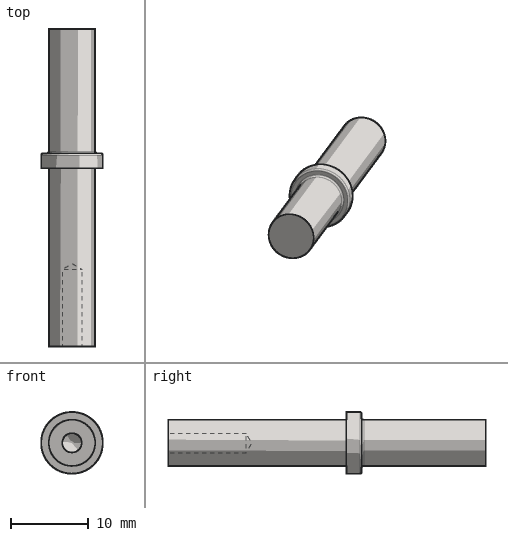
import cadquery as cq
import math

length = 41.0
rod_diameter = 6.0
collar_diameter = 8.0
collar_width = 1.95
collar_front = 23.0
edge_radius = 0.25

hole_diameter = 2.5
hole_depth = 10.0
drill_point_angle = 118.0

rod_radius = rod_diameter / 2
collar_radius = collar_diameter / 2
collar_rear = collar_front + collar_width
hole_radius = hole_diameter / 2
drill_point_depth = hole_radius / math.tan(math.radians(drill_point_angle / 2))
hole_tip = hole_depth + drill_point_depth


def turned_body():
    """Revolve the rod and collar, including both rear collar radii, about Y."""
    profile = (
        cq.Workplane("XY")
        .moveTo(0, 0)
        .lineTo(rod_radius, 0)
        .lineTo(rod_radius, collar_front)
        .lineTo(collar_radius, collar_front)
        .lineTo(collar_radius, collar_rear - edge_radius)
        .radiusArc((collar_radius - edge_radius, collar_rear), -edge_radius)
        .lineTo(rod_radius + edge_radius, collar_rear)
        .radiusArc((rod_radius, collar_rear + edge_radius), edge_radius)
        .lineTo(rod_radius, length)
        .lineTo(0, length)
        .close()
    )
    return profile.revolve(360, (0, 0, 0), (0, 1, 0))


def drilled_hole():
    """Blind hole on the axis, ending in a conical drill point."""
    profile = (
        cq.Workplane("XY")
        .moveTo(0, 0)
        .lineTo(hole_radius, 0)
        .lineTo(hole_radius, hole_depth)
        .lineTo(0, hole_tip)
        .close()
    )
    return profile.revolve(360, (0, 0, 0), (0, 1, 0))


pin = turned_body().cut(drilled_hole())
result = pin.translate((0, -length / 2, 0))